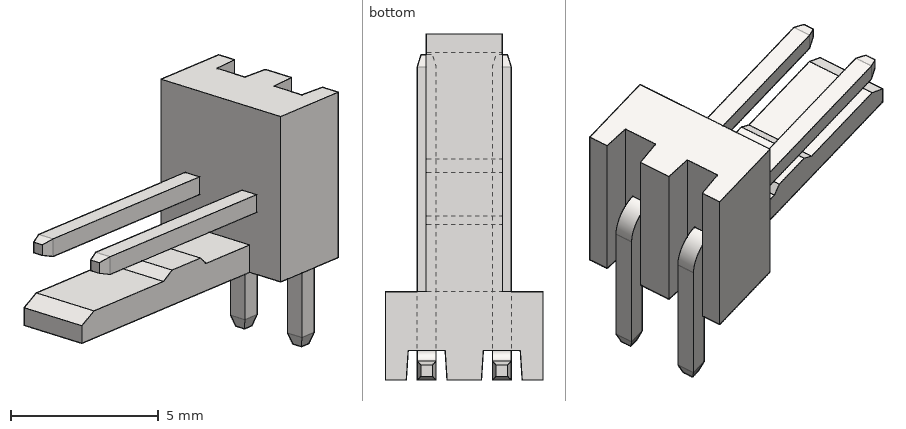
import cadquery as cq
import math


housing_width = 5.34
housing_depth = 3.0
housing_height = 6.0

tongue_width = 2.57
tongue_reach = 11.7
tongue_height = 1.0
tongue_nose_height = 0.64
tongue_slope_start = 11.07
ridge_height = 1.28
ridge_rear_foot = 5.25
ridge_rear_top = 5.55
ridge_front_top = 7.02
ridge_front_foot = 7.46

groove_depth = 1.0
groove_mouth_width = 1.37
groove_floor_width = 1.24

pin_pitch = 2.54
pin_size = 0.64
pin_axis_height = 2.57
pin_reach = 11.0
leg_drop = 3.39
tip_length = 0.41
tip_size = 0.39
tip_taper = math.degrees(math.atan((pin_size - tip_size) / 2 / tip_length))
bend_outer_radius = groove_depth
bend_inner_radius = bend_outer_radius - pin_size

pin_positions = [-pin_pitch / 2, pin_pitch / 2]


def make_pin(x):
    """One L-shaped pin with a rounded bend and a tapered tip at each end."""
    pin_top = pin_axis_height + pin_size / 2
    pin_bottom = pin_top - pin_size
    shank_front = tip_length - pin_reach
    leg_bottom = tip_length - leg_drop
    bend_y = -bend_outer_radius
    bend_z = pin_top - bend_outer_radius
    diagonal = math.sqrt(0.5)
    outer_mid = (bend_y + bend_outer_radius * diagonal, bend_z + bend_outer_radius * diagonal)
    inner_mid = (bend_y + bend_inner_radius * diagonal, bend_z + bend_inner_radius * diagonal)

    shank = (
        cq.Workplane("YZ")
        .moveTo(shank_front, pin_bottom)
        .lineTo(shank_front, pin_top)
        .lineTo(bend_y, pin_top)
        .threePointArc(outer_mid, (0, bend_z))
        .lineTo(0, leg_bottom)
        .lineTo(-pin_size, leg_bottom)
        .lineTo(-pin_size, bend_z)
        .threePointArc(inner_mid, (bend_y, pin_bottom))
        .close()
        .extrude(pin_size / 2, both=True)
    )
    front_tip = (
        cq.Workplane("XZ", origin=(0, shank_front, pin_axis_height))
        .rect(pin_size, pin_size)
        .extrude(tip_length, taper=tip_taper)
    )
    leg_tip = (
        cq.Workplane("XY", origin=(0, -pin_size / 2, leg_bottom))
        .rect(pin_size, pin_size)
        .extrude(-tip_length, taper=tip_taper)
    )
    return shank.union(front_tip).union(leg_tip).translate((x, 0, 0))


def make_tongue():
    """Tongue with a locking ridge and a sloped nose, starting at the housing front."""
    return (
        cq.Workplane("YZ")
        .polyline([
            (-housing_depth, 0),
            (-housing_depth, tongue_height),
            (-ridge_rear_foot, tongue_height),
            (-ridge_rear_top, ridge_height),
            (-ridge_front_top, ridge_height),
            (-ridge_front_foot, tongue_height),
            (-tongue_slope_start, tongue_height),
            (-tongue_reach, tongue_nose_height),
            (-tongue_reach, 0),
        ])
        .close()
        .extrude(tongue_width / 2, both=True)
    )


def make_groove(x):
    """Full-height groove that widens towards the housing back."""
    return (
        cq.Workplane("XY")
        .polyline([
            (x - groove_mouth_width / 2, 0),
            (x - groove_floor_width / 2, -groove_depth),
            (x + groove_floor_width / 2, -groove_depth),
            (x + groove_mouth_width / 2, 0),
        ])
        .close()
        .extrude(housing_height)
    )


def make_housing():
    """Block with its tongue, the rear grooves and a matching hole for each pin."""
    block = cq.Workplane("XY").box(
        housing_width, housing_depth, housing_height, centered=(True, False, False)
    )
    body = block.translate((0, -housing_depth, 0)).union(make_tongue())
    for x in pin_positions:
        pin_hole = (
            cq.Workplane("XZ", origin=(x, 0, pin_axis_height))
            .rect(pin_size, pin_size)
            .extrude(housing_depth)
        )
        body = body.cut(make_groove(x)).cut(pin_hole)
    return body


housing = make_housing()
pins = [make_pin(x) for x in pin_positions]

result = cq.Compound.makeCompound([housing.val(), *[pin.val() for pin in pins]])